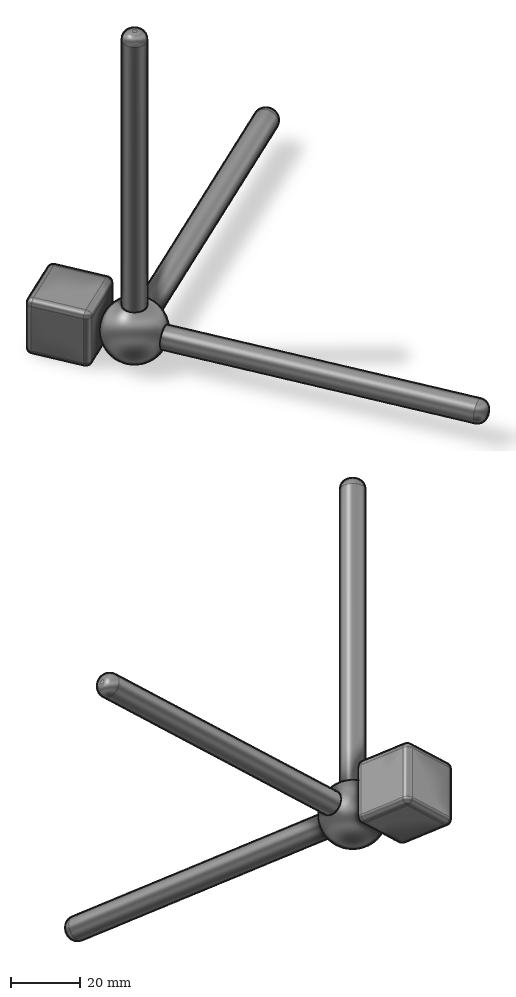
import cadquery as cq
import math

total_length = 139.3
cube_side = 20.0
cube_edge_radius = 2.0
ball_diameter = cube_side
rod_diameter = 7.5
rod_tip_radius = 3.0

ball_radius = ball_diameter / 2
rod_radius = rod_diameter / 2
cube_center_x = -(ball_radius + cube_side / 2)
rod_end = total_length - cube_side - ball_radius
rod_seat = math.sqrt(ball_radius**2 - rod_radius**2)
rod_length = rod_end - rod_seat

rod_directions = [(1, 0, 0), (0, 1, 0), (0, 0, 1)]


def plane_along(direction, distance):
    """Plane facing along a direction, at a distance from the ball centre."""
    origin = tuple(distance * component for component in direction)
    x_dir = direction[1:] + direction[:1]
    return cq.Plane(origin=origin, xDir=x_dir, normal=direction)


def make_cube():
    """Cube with all edges rounded, beside the ball on -X."""
    cube = cq.Workplane("XY").box(cube_side, cube_side, cube_side)
    return cube.edges().fillet(cube_edge_radius).translate((cube_center_x, 0, 0))


def make_ball():
    """Ball with a flat seat for each rod."""
    ball = cq.Workplane("XY").sphere(ball_radius)
    for direction in rod_directions:
        cap = cq.Workplane(plane_along(direction, rod_seat)).rect(ball_diameter, ball_diameter)
        ball = ball.cut(cap.extrude(ball_radius))
    return ball


def make_rod(direction):
    """Round rod from its seat outwards, with a rounded tip."""
    rod = cq.Workplane(plane_along(direction, rod_seat)).circle(rod_radius).extrude(rod_length)
    outer_end = cq.selectors.DirectionMinMaxSelector(cq.Vector(*direction))
    return rod.faces(outer_end).edges().fillet(rod_tip_radius)


cube = make_cube()
ball = make_ball()
rods = [make_rod(direction) for direction in rod_directions]

result = cq.Compound.makeCompound([cube.val(), ball.val(), *[rod.val() for rod in rods]])